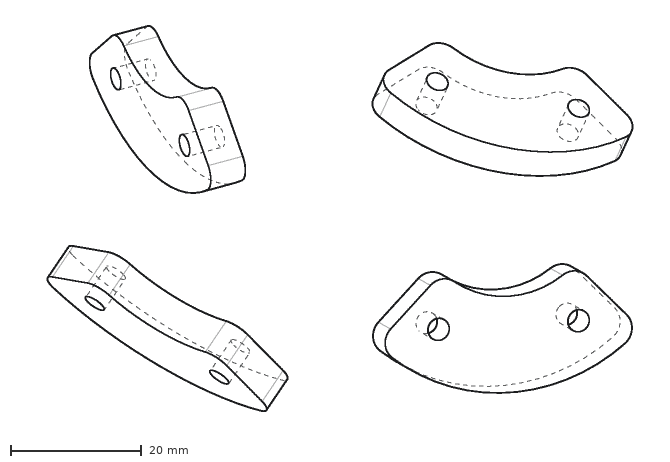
import cadquery as cq
import math

outer_radius = 30.0
inner_radius = outer_radius / 2
thickness = 6.0
half_angle = 45
corner_radius = 3.0
hole_diameter = 3.4
hole_angle = 30
hole_circle_radius = (outer_radius + inner_radius) / 2


def ring_point(radius, angle):
    """Point in the XZ plane at an angle measured from -Z toward +X."""
    turn = math.radians(angle)
    return (radius * math.sin(turn), -radius * math.cos(turn))


def ring_sector():
    """Flat ring segment with radial sides and rounded corners."""
    sector = (
        cq.Workplane("XZ")
        .moveTo(*ring_point(inner_radius, -half_angle))
        .lineTo(*ring_point(outer_radius, -half_angle))
        .threePointArc(ring_point(outer_radius, 0), ring_point(outer_radius, half_angle))
        .lineTo(*ring_point(inner_radius, half_angle))
        .threePointArc(ring_point(inner_radius, 0), ring_point(inner_radius, -half_angle))
        .close()
        .extrude(thickness)
    )
    return sector.edges("|Y").fillet(corner_radius)


def through_holes():
    """Two cylinders on the middle circle of the ring."""
    centers = [ring_point(hole_circle_radius, angle) for angle in (-hole_angle, hole_angle)]
    return cq.Workplane("XZ").pushPoints(centers).circle(hole_diameter / 2).extrude(thickness)


result = ring_sector().cut(through_holes())